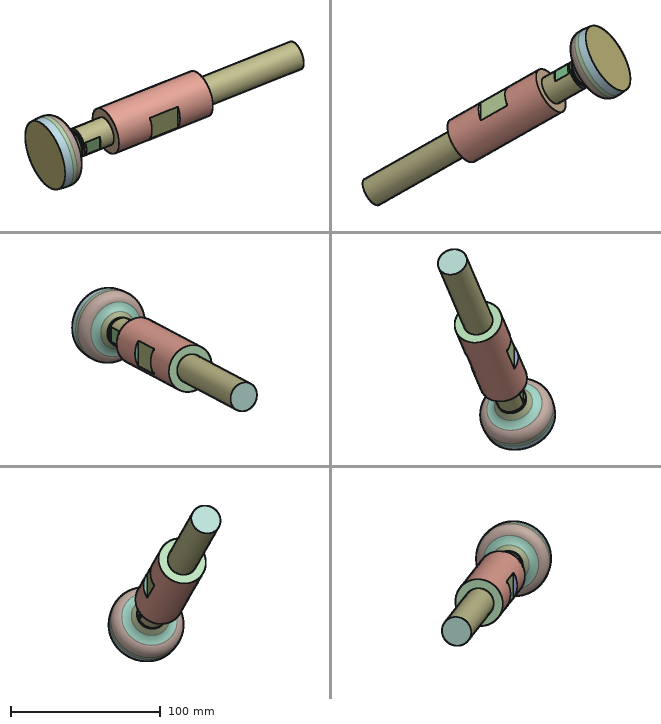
import cadquery as cq
import math

TOTAL_LENGTH = 200.0

ROD_DIAMETER = 20.0
ROD_START = 25.2
ROD_FLAT_START = 26.5
ROD_FLAT_LENGTH = 11.5
ROD_ACROSS_FLATS = 17.2
NECK_RADIUS = 7.8

SLEEVE_DIAMETER = 32.5
SLEEVE_START = 48.5
SLEEVE_LENGTH = 75.0
SLEEVE_FLAT_LENGTH = 22.5
SLEEVE_ACROSS_FLATS = 27.2

FOOT_RADIUS = 25.0
SOLE_RADIUS = 24.5
BAND_START = 6.0
BAND_END = 9.0
SHOULDER_RADIUS = 7.5
SHOULDER_END_SLOPE = math.radians(10)
CONE_BASE_RADIUS = 13.0
CONE_START = 19.2
RIM_RADIUS = 9.8
RIM_START = 22.8
RIM_END = 23.5
TOP_RADIUS = 8.5
FOOT_TOP = 24.5


def cylinder_along_y(radius, start, length):
    """Cylinder on the common axis, running toward +Y from start."""
    return cq.Workplane("XZ", origin=(0, start, 0)).circle(radius).extrude(-length)


def cut_side_flats(body, diameter, across_flats, start, length):
    """Cut two opposite flats that face -X and +X."""
    depth = (diameter - across_flats) / 2
    for side in (-1, 1):
        center = (side * (across_flats + depth) / 2, start + length / 2, 0)
        body = body.cut(cq.Workplane("XY", origin=center).box(depth, length, diameter))
    return body


def make_rod():
    """Long round rod with wrench flats and a short neck that meets the foot."""
    rod = cylinder_along_y(ROD_DIAMETER / 2, ROD_START, TOTAL_LENGTH - ROD_START)
    rod = cut_side_flats(rod, ROD_DIAMETER, ROD_ACROSS_FLATS, ROD_FLAT_START, ROD_FLAT_LENGTH)
    neck = cylinder_along_y(NECK_RADIUS, FOOT_TOP, ROD_START - FOOT_TOP)
    return rod.union(neck)


def make_sleeve():
    """Sleeve around the rod, with wrench flats at the middle of its length."""
    sleeve = cylinder_along_y(SLEEVE_DIAMETER / 2, SLEEVE_START, SLEEVE_LENGTH)
    bore = cylinder_along_y(ROD_DIAMETER / 2, SLEEVE_START, SLEEVE_LENGTH)
    flat_start = SLEEVE_START + (SLEEVE_LENGTH - SLEEVE_FLAT_LENGTH) / 2
    return cut_side_flats(
        sleeve.cut(bore), SLEEVE_DIAMETER, SLEEVE_ACROSS_FLATS, flat_start, SLEEVE_FLAT_LENGTH
    )


def make_foot():
    """Turned foot: tapered sole, rounded shoulder, concave flare, cone and beveled rim."""
    shoulder_center_radius = FOOT_RADIUS - SHOULDER_RADIUS
    shoulder_end = (
        shoulder_center_radius + SHOULDER_RADIUS * math.sin(SHOULDER_END_SLOPE),
        BAND_END + SHOULDER_RADIUS * math.cos(SHOULDER_END_SLOPE),
    )
    outline = (
        cq.Workplane("XY")
        .lineTo(SOLE_RADIUS, 0)
        .lineTo(FOOT_RADIUS, BAND_START)
        .lineTo(FOOT_RADIUS, BAND_END)
        .tangentArcPoint(shoulder_end, relative=False)
        .tangentArcPoint((CONE_BASE_RADIUS, CONE_START), relative=False)
        .lineTo(RIM_RADIUS, RIM_START)
        .lineTo(RIM_RADIUS, RIM_END)
        .lineTo(TOP_RADIUS, FOOT_TOP)
        .lineTo(0, FOOT_TOP)
        .close()
    )
    return outline.revolve(360, (0, 0, 0), (0, 1, 0))


rod = make_rod()
sleeve = make_sleeve()
foot = make_foot()

result = cq.Compound.makeCompound([rod.val(), sleeve.val(), foot.val()])